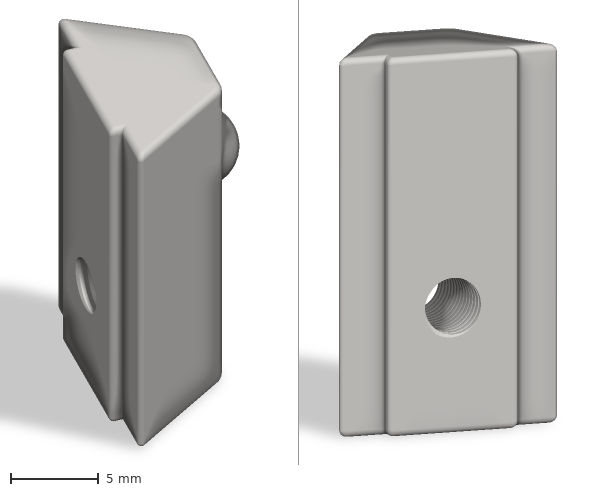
import cadquery as cq
import math

body_length = 22.0
body_depth = 7.44
back_width = 5.02
wing_width = 13.45
lip_width = 7.8
lip_height = 0.73
back_edge_radius = 1.0
front_edge_radius = 0.22
end_radius = 0.4

bore_diameter = 4.85
bore_z = 4.77
ball_diameter = bore_diameter
ball_protrusion = 1.72
ball_y = body_depth + ball_protrusion - ball_diameter / 2
plug_length = ball_y - ball_diameter / 2

thread_hole_diameter = 3.3
thread_hole_z = -3.63
thread_pitch = 0.5
thread_depth = 0.22
thread_flank_angle = 30.0
thread_start_angle = 123.0
thread_overrun = 0.05


def wedge_profile():
    """Half outlines of the wedge and its lip, mirrored about X = 0."""
    return (
        cq.Workplane("XY")
        .moveTo(0, 0)
        .lineTo(lip_width / 2, 0)
        .lineTo(lip_width / 2, lip_height)
        .lineTo(wing_width / 2, lip_height)
        .lineTo(back_width / 2, body_depth)
        .lineTo(0, body_depth)
        .mirrorY()
    )


def long_edges_at(solid, half_width, y):
    """Pick the pair of edges parallel to Z at X = +/- half_width."""
    margin = 0.02
    right, left = (
        cq.selectors.BoxSelector(
            (x - margin, y - margin, -body_length),
            (x + margin, y + margin, body_length),
        )
        for x in (half_width, -half_width)
    )
    return solid.edges("|Z").edges(right + left)


def make_wedge():
    wedge = wedge_profile().extrude(body_length / 2, both=True)
    wedge = long_edges_at(wedge, back_width / 2, body_depth).fillet(back_edge_radius)
    wedge = long_edges_at(wedge, lip_width / 2, 0).fillet(front_edge_radius)
    wedge = long_edges_at(wedge, wing_width / 2, lip_height).fillet(front_edge_radius)
    return wedge.faces("<Z or >Z").edges().fillet(end_radius)


def cylinder_along_y(diameter, length, z):
    """Cylinder that starts at Y = 0 and runs toward +Y."""
    return (
        cq.Workplane("XZ")
        .center(0, z)
        .circle(diameter / 2)
        .extrude(-length)
    )


def make_thread_cutter():
    """V-shaped helical ridge that overshoots both ends of the threaded hole."""
    hole_radius = thread_hole_diameter / 2
    slope = math.tan(math.radians(thread_flank_angle))
    half_base = (thread_depth + thread_overrun) * slope
    turns = math.ceil(body_depth / thread_pitch) + 2
    helix = cq.Wire.makeHelix(thread_pitch, turns * thread_pitch, hole_radius)
    ridge = (
        cq.Workplane("XZ")
        .moveTo(hole_radius - thread_overrun, -half_base)
        .lineTo(hole_radius + thread_depth, 0)
        .lineTo(hole_radius - thread_overrun, half_base)
        .close()
        .sweep(cq.Workplane(helix), isFrenet=True)
    )
    return (
        ridge
        .translate((0, 0, -thread_pitch))
        .rotate((0, 0, 0), (0, 0, 1), thread_start_angle)
        .rotate((0, 0, 0), (1, 0, 0), -90)
        .translate((0, 0, thread_hole_z))
    )


def make_housing():
    housing = make_wedge()
    housing = housing.cut(cylinder_along_y(bore_diameter, body_depth, bore_z))
    housing = housing.cut(make_thread_cutter())
    return housing.cut(cylinder_along_y(thread_hole_diameter, body_depth, thread_hole_z))


def make_ball():
    return cq.Workplane("XY").sphere(ball_diameter / 2).translate((0, ball_y, bore_z))


def make_plug():
    return cylinder_along_y(bore_diameter, plug_length, bore_z)


housing = make_housing()
ball = make_ball()
plug = make_plug()

result = cq.Compound.makeCompound([housing.val(), ball.val(), plug.val()])